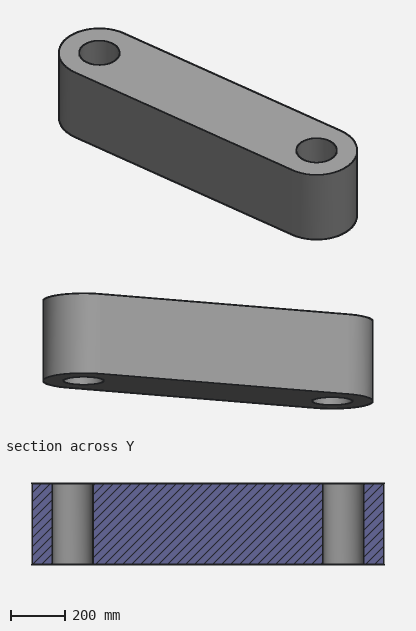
import cadquery as cq

length = 1300.0
width = 300.0
height = width
hole_diameter = 150.0
hole_spacing = length - width

bar = cq.Workplane("XY").slot2D(length, width).extrude(height)

result = (
    bar.faces(">Z")
    .workplane(origin=(0, 0, height))
    .pushPoints([(-hole_spacing / 2, 0), (hole_spacing / 2, 0)])
    .hole(hole_diameter)
)